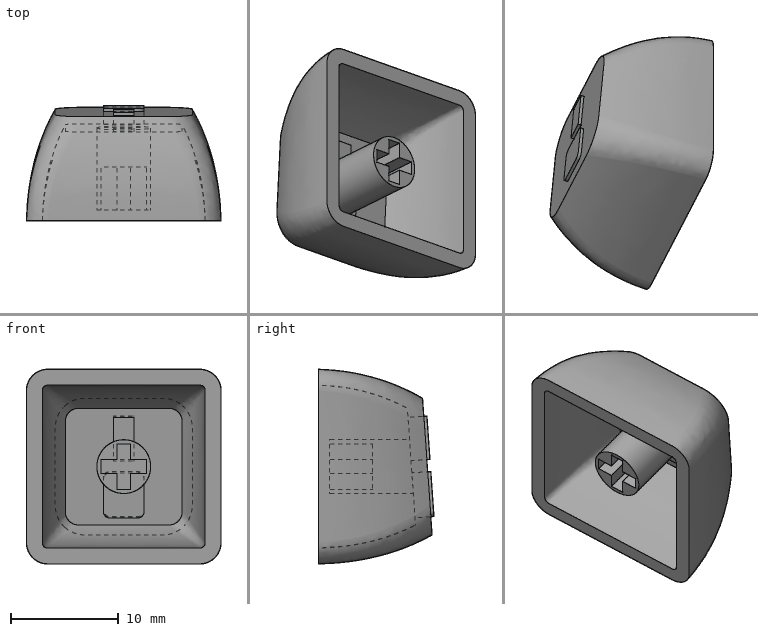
import cadquery as cq
import math

RIM_SIZE = 18.1
RIM_CORNER_RADIUS = 2.01
ROOF_SIZE = 12.72
ROOF_CORNER_RADIUS = 2.73
ROOF_DEPTH = 10.12
ROOF_TILT = 4.0

RIM_WALL = 1.48
OPENING_SIZE = RIM_SIZE - 2 * RIM_WALL
OPENING_CORNER_RADIUS = 0.5
FLOOR_SIZE = 10.86
FLOOR_CORNER_RADIUS = 1.23
ROOF_THICKNESS = 1.48
FLOOR_DEPTH = ROOF_DEPTH - ROOF_THICKNESS

STEM_DIAMETER = 5.0
STEM_SETBACK = 1.03
CROSS_LENGTH = 4.22
CROSS_WIDTH = 1.29
CROSS_DEPTH = 3.98

PAD_RAISE = 0.29
PAD_LENGTH = ROOF_THICKNESS + PAD_RAISE
UPPER_PAD_WIDTH = 1.88
UPPER_PAD_TOP = 4.58
UPPER_PAD_BOTTOM = 0.55
LOWER_PAD_WIDTH = 3.78
LOWER_PAD_TOP = -0.58
LOWER_PAD_BOTTOM = -4.78
LOWER_PAD_CORNER_RADIUS = 0.6

LOFT_STATIONS = (0.0, 0.5, 1.0)


def tilted_plane(depth, tilt):
    """Plane across the cap axis, local x along -X and local y up the slope."""
    angle = math.radians(tilt)
    normal = (0, math.cos(angle), math.sin(angle))
    return cq.Plane(origin=(0, depth, 0), xDir=(-1, 0, 0), normal=normal)


def rounded_square(plane, size, radius):
    """Wire of a square on the given plane with its corners rounded."""
    square = cq.Workplane(plane).rect(size, size).val()
    return square.fillet2D(radius, square.Vertices())


def domed_block(start_size, start_radius, end_size, end_radius, depth):
    """Rounded square that leaves the rim square-on and curves in to a tilted end face."""
    wires = []
    for station in LOFT_STATIONS:
        taper = station**2
        size = start_size + (end_size - start_size) * taper
        radius = start_radius + (end_radius - start_radius) * taper
        plane = tilted_plane(depth * station, ROOF_TILT * station)
        wires.append(rounded_square(plane, size, radius))
    return cq.Workplane(cq.Solid.makeLoft(wires))


def make_cavity():
    """Hollow of the cap, from the rim to the floor under the roof."""
    return domed_block(OPENING_SIZE, OPENING_CORNER_RADIUS, FLOOR_SIZE, FLOOR_CORNER_RADIUS, FLOOR_DEPTH)


def make_pad(width, top, bottom):
    """Prism square to the roof, from the cavity floor to above the roof."""
    return (
        cq.Workplane(tilted_plane(FLOOR_DEPTH, ROOF_TILT))
        .center(0, (top + bottom) / 2)
        .rect(width, top - bottom)
        .extrude(PAD_LENGTH)
    )


def make_pads():
    """Narrow square-cornered pad above a wide round-cornered one."""
    upper = make_pad(UPPER_PAD_WIDTH, UPPER_PAD_TOP, UPPER_PAD_BOTTOM)
    lower = make_pad(LOWER_PAD_WIDTH, LOWER_PAD_TOP, LOWER_PAD_BOTTOM)
    along_pad = cq.Vector(tilted_plane(FLOOR_DEPTH, ROOF_TILT).zDir)
    lower = lower.edges(cq.selectors.ParallelDirSelector(along_pad)).fillet(LOWER_PAD_CORNER_RADIUS)
    return upper.union(lower)


def make_shell(cavity, pads):
    """Cap shell with two openings in the roof that fit the pads."""
    block = domed_block(RIM_SIZE, RIM_CORNER_RADIUS, ROOF_SIZE, ROOF_CORNER_RADIUS, ROOF_DEPTH)
    return block.cut(cavity).cut(pads)


def make_insert(cavity, pads):
    """Stem cut off at the cavity floor, joined to the two pads behind it."""
    stem_plane = tilted_plane(STEM_SETBACK, 0)
    stem = cq.Workplane(stem_plane).circle(STEM_DIAMETER / 2).extrude(ROOF_DEPTH).intersect(cavity)
    cross = (
        cq.Workplane(stem_plane)
        .rect(CROSS_LENGTH, CROSS_WIDTH)
        .extrude(CROSS_DEPTH)
        .union(cq.Workplane(stem_plane).rect(CROSS_WIDTH, CROSS_LENGTH).extrude(CROSS_DEPTH))
    )
    return stem.cut(cross).union(pads)


cavity = make_cavity()
pads = make_pads()
shell = make_shell(cavity, pads)
insert = make_insert(cavity, pads)

result = cq.Compound.makeCompound([shell.solids().val(), insert.solids().val()])